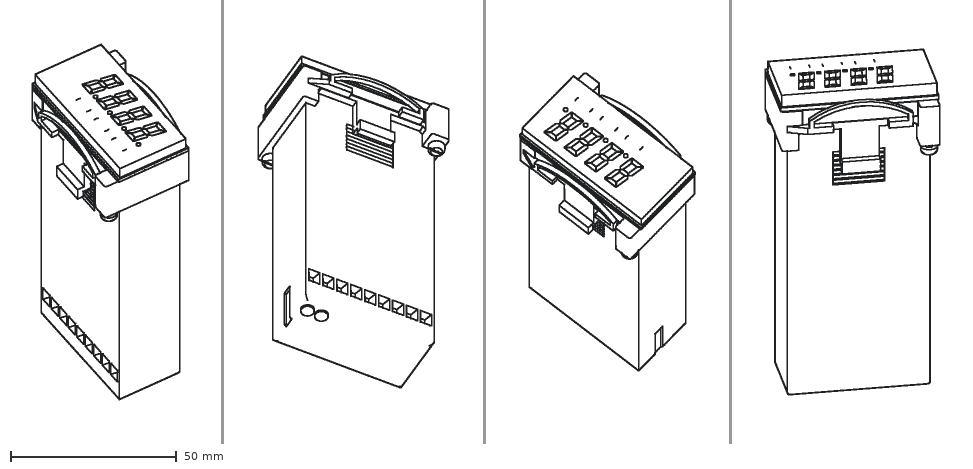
import cadquery as cq


CASE_X = 43.8
CASE_Y = 21.7
CASE_BOTTOM = 0.6
CASE_BOTTOM_FILLET = 1.4

FLANGE_X = 48.5
FLANGE_Y = 25.1
FLANGE_BOTTOM = 97.3
FLANGE_TOP = 98.6
BEZEL_X = 47.7
BEZEL_Y = 23.6
BEZEL_TOP = 102.5

TOTAL_HEIGHT = 102.8
BUTTON_RADIUS = 3.0
BUTTON_PITCH = 10.0
BUTTON_MIDDLE_X = 5.0
BUTTON_Y = -6.5

DIGIT_COUNT = 4
DIGIT_PITCH = 8.0
DIGIT_FIRST_X = -9.4
DIGIT_MIDDLE_Y = 3.2
DIGIT_WIDTH = 4.7
DIGIT_HEIGHT = 10.7
DIGIT_SLANT = 0.17
SEGMENT_WIDTH = 1.3
SEGMENT_GAP = 0.15
ENGRAVE_DEPTH = 0.1
POINT_RADIUS = 0.67
POINT_X = 3.4
POINT_Y = -4.7

TERMINAL_COUNT = 9
TERMINAL_SPAN = 38.0
TERMINAL_PITCH = TERMINAL_SPAN / (TERMINAL_COUNT - 1)
TERMINAL_X = 3.8
TERMINAL_Z = 4.8
TERMINAL_FLOOR_X = 1.3
TERMINAL_FLOOR_Z = 2.8
TERMINAL_DEPTH = 2.1
TERMINAL_MIDDLE_Z = 10.7

TOOTH_COUNT = 7
RATCHET_HEIGHT = 11.1
TOOTH_PITCH = RATCHET_HEIGHT / TOOTH_COUNT
TOOTH_DEPTH = 1.0
RATCHET_X = 15.8
RATCHET_TOP = 81.6

GROOVE_Y = 3.5
GROOVE_MIDDLE_Y = 1.5
GROOVE_TOP = 14.7
GROOVE_DEPTH = 0.7
FOOT_RADIUS = 2.1
FOOT_Y = -6.2
FOOT_XS = (-18.9, -14.2)

FRAME_X = BEZEL_X
FRAME_Y = 26.3
FRAME_BOTTOM = 84.2
FRAME_TOP = FLANGE_BOTTOM
FRAME_FILLET = 0.7
WINDOW_TOP = 90.2
WINDOW_PLAIN_EDGE = -18.8
WINDOW_CHAMFER = 0.9
BOSS_EDGE = 17.8
OVERALL_Y = 34.2
BOSS_Y = OVERALL_Y / 2
RECESS_HALF_X = 17.7
RECESS_DEPTH = 0.3

BAR_BOTTOM = 90.4
BAR_TOP = 92.5
BAR_INNER_X = 8.5
BOW_BACK_Y = 13.8
BOW_FRONT_Y = 15.5
BOW_HALF_X = 15.8
BOW_SHOULDER = 94.9
BOW_APEX = 99.9
BOW_THICKNESS = 1.3
BOW_INNER_SHOULDER = 94.4
RAMP_START_X = 16.4
RAMP_END_X = 22.3

TONGUE_X = 11.7
TONGUE_BOTTOM = 78.3
HOOK_TOP = 80.3
HOOK_BOTTOM = 76.3
LIP_BACK_Y = 13.5

SCREW_X = 21.0
SCREW_Y = 14.0
SHANK_RADIUS = 1.0
HEAD_RADIUS = 2.6
HEAD_TOP = 82.6
HEAD_RIM = 81.9
HEAD_BOTTOM = 80.5
HEAD_FLAT_RADIUS = 1.7
SLOT_WIDTH = 0.4
SLOT_DEPTH = 0.4


def block(x0, x1, y0, y1, z0, z1):
    """Box between two opposite corners."""
    return cq.Workplane("XY").box(x1 - x0, y1 - y0, z1 - z0, centered=False).translate((x0, y0, z0))


def centred_block(size_x, size_y, z0, z1):
    """Box centred on the Z axis."""
    return block(-size_x / 2, size_x / 2, -size_y / 2, size_y / 2, z0, z1)


def half_turn(shape):
    """Copy turned by 180 degrees about Z, to the opposite side."""
    return shape.rotate((0, 0, 0), (0, 0, 1), 180)


def button(x):
    """Low button of circular outline whose two halves slope down from an arched ridge along X."""
    rise = TOTAL_HEIGHT - BEZEL_TOP
    slanted_half = (
        cq.Workplane("XZ")
        .ellipse(BUTTON_RADIUS, rise)
        .workplane(offset=-BUTTON_RADIUS)
        .center(0, -rise)
        .ellipse(BUTTON_RADIUS, rise)
        .loft(ruled=True)
        .intersect(centred_block(2 * BUTTON_RADIUS, 2 * BUTTON_RADIUS, 0, 2 * rise))
    )
    return slanted_half.union(half_turn(slanted_half)).translate((x, BUTTON_Y, BEZEL_TOP))


def segment(outline):
    """Display segment from the outline it has in an upright digit, sheared to the slant."""
    slanted = [(x + DIGIT_SLANT * y, y) for x, y in outline]
    return cq.Workplane("XY").polyline(slanted).close().extrude(ENGRAVE_DEPTH)


def digit_pieces():
    """Seven slanted, mitred segments and a decimal point, centred on the origin."""
    half_x = DIGIT_WIDTH / 2
    half_y = DIGIT_HEIGHT / 2
    inner_x = half_x - SEGMENT_WIDTH
    inner_y = half_y - SEGMENT_WIDTH
    half_width = SEGMENT_WIDTH / 2
    tip_x = half_x - half_width
    gap = SEGMENT_GAP

    middle = [
        (tip_x - gap, 0),
        (inner_x - gap, half_width),
        (gap - inner_x, half_width),
        (gap - tip_x, 0),
        (gap - inner_x, -half_width),
        (inner_x - gap, -half_width),
    ]
    end = [(gap - half_x, half_y), (half_x - gap, half_y), (inner_x - gap, inner_y), (gap - inner_x, inner_y)]
    side = [
        (half_x, half_y - gap),
        (half_x, half_width + gap),
        (tip_x, gap),
        (inner_x, half_width + gap),
        (inner_x, inner_y - gap),
    ]

    pieces = [cq.Workplane("XY").center(POINT_X, POINT_Y).circle(POINT_RADIUS).extrude(ENGRAVE_DEPTH)]
    pieces.append(segment(middle))
    for sign_y in (-1, 1):
        pieces.append(segment([(x, sign_y * y) for x, y in end]))
        for sign_x in (-1, 1):
            pieces.append(segment([(sign_x * x, sign_y * y) for x, y in side]))
    return pieces


def terminal(x):
    """Tapered opening in the -Y face of the case."""
    return (
        cq.Workplane("XZ", origin=(x, -CASE_Y / 2, TERMINAL_MIDDLE_Z))
        .rect(TERMINAL_X, TERMINAL_Z)
        .workplane(offset=-TERMINAL_DEPTH)
        .rect(TERMINAL_FLOOR_X, TERMINAL_FLOOR_Z)
        .loft()
    )


def ratchet_tooth(top):
    """Sawtooth cut in the -Y face that slopes inward from its top to a level ledge."""
    face = -CASE_Y / 2
    ledge = top - TOOTH_PITCH
    return (
        cq.Workplane("YZ")
        .polyline([(face, top), (face + TOOTH_DEPTH, ledge), (face, ledge)])
        .close()
        .extrude(RATCHET_X / 2, both=True)
    )


def make_housing():
    case = centred_block(CASE_X, CASE_Y, CASE_BOTTOM, FLANGE_BOTTOM)
    case = case.faces("<Z").edges().fillet(CASE_BOTTOM_FILLET)
    flange = centred_block(FLANGE_X, FLANGE_Y, FLANGE_BOTTOM, FLANGE_TOP)
    bezel = centred_block(BEZEL_X, BEZEL_Y, FLANGE_TOP, BEZEL_TOP)
    body = case.union(flange).union(bezel)

    for i in (-1, 0, 1):
        body = body.union(button(BUTTON_MIDDLE_X + i * BUTTON_PITCH))
    for x in FOOT_XS:
        foot = cq.Workplane("XY").center(x, FOOT_Y).circle(FOOT_RADIUS).extrude(CASE_BOTTOM)
        body = body.union(foot)

    for i in range(DIGIT_COUNT):
        place = (DIGIT_FIRST_X + i * DIGIT_PITCH, DIGIT_MIDDLE_Y, BEZEL_TOP - ENGRAVE_DEPTH)
        for piece in digit_pieces():
            body = body.cut(piece.translate(place))
    for i in range(TERMINAL_COUNT):
        body = body.cut(terminal((i - (TERMINAL_COUNT - 1) / 2) * TERMINAL_PITCH))
    for i in range(TOOTH_COUNT):
        tooth = ratchet_tooth(RATCHET_TOP - i * TOOTH_PITCH)
        body = body.cut(tooth).cut(half_turn(tooth))

    groove = block(
        -CASE_X / 2, -CASE_X / 2 + GROOVE_DEPTH,
        GROOVE_MIDDLE_Y - GROOVE_Y / 2, GROOVE_MIDDLE_Y + GROOVE_Y / 2,
        CASE_BOTTOM, GROOVE_TOP,
    )
    return body.cut(groove)


def boss():
    """Screw boss on the +X end of the -Y wall."""
    shape = block(BOSS_EDGE, FRAME_X / 2, -BOSS_Y, 0, FRAME_BOTTOM, FRAME_TOP)
    shape = shape.edges("|Z and <Y").fillet(FRAME_FILLET)
    return shape.cut(centred_block(CASE_X, CASE_Y, FRAME_BOTTOM, FRAME_TOP))


def window():
    """Opening between the legs of the -Y wall, with chamfered upper corners."""
    shape = block(WINDOW_PLAIN_EDGE, BOSS_EDGE, -FRAME_Y / 2, -CASE_Y / 2, FRAME_BOTTOM, WINDOW_TOP)
    return shape.edges("|Y and >Z").chamfer(WINDOW_CHAMFER)


def recess():
    """Shallow step in the wall above the bow supports."""
    outer = -FRAME_Y / 2
    return block(-RECESS_HALF_X, RECESS_HALF_X, outer, outer + RECESS_DEPTH, BAR_TOP, FRAME_TOP)


def bow():
    """Spring bow: an arched strip whose feet turn inward along the supports."""
    inner_half = BOW_HALF_X - BOW_THICKNESS
    return (
        cq.Workplane("XZ", origin=(0, -BOW_BACK_Y, 0))
        .moveTo(-BOW_HALF_X, BAR_BOTTOM)
        .lineTo(-BOW_HALF_X, BOW_SHOULDER)
        .threePointArc((0, BOW_APEX), (BOW_HALF_X, BOW_SHOULDER))
        .lineTo(BOW_HALF_X, BAR_BOTTOM)
        .lineTo(BAR_INNER_X, BAR_BOTTOM)
        .lineTo(BAR_INNER_X, BAR_TOP)
        .lineTo(inner_half, BAR_TOP)
        .lineTo(inner_half, BOW_INNER_SHOULDER)
        .threePointArc((0, BOW_APEX - BOW_THICKNESS), (-inner_half, BOW_INNER_SHOULDER))
        .lineTo(-inner_half, BAR_TOP)
        .lineTo(-BAR_INNER_X, BAR_TOP)
        .lineTo(-BAR_INNER_X, BAR_BOTTOM)
        .close()
        .extrude(BOW_FRONT_Y - BOW_BACK_Y)
    )


def supports():
    """Bars that join the bow to the wall; the one away from the boss ends in a ramp."""
    wall = -FRAME_Y / 2
    plain = block(BAR_INNER_X, BOW_HALF_X, -BOW_FRONT_Y, wall, BAR_BOTTOM, BAR_TOP)
    ramped = (
        cq.Workplane("XY", origin=(0, 0, BAR_BOTTOM))
        .polyline([
            (-BAR_INNER_X, wall),
            (-BAR_INNER_X, -BOW_FRONT_Y),
            (-RAMP_START_X, -BOW_FRONT_Y),
            (-RAMP_END_X, wall),
        ])
        .close()
        .extrude(BAR_TOP - BAR_BOTTOM)
    )
    return plain.union(ramped)


def tongue():
    """Latch tongue that hangs from the wall and ends in an outward hook."""
    wall = -FRAME_Y / 2
    return (
        cq.Workplane("YZ")
        .polyline([
            (-CASE_Y / 2, WINDOW_TOP),
            (wall, WINDOW_TOP),
            (wall, HOOK_TOP),
            (-BOW_FRONT_Y, HOOK_TOP),
            (-BOW_FRONT_Y, HOOK_BOTTOM),
            (-LIP_BACK_Y, HOOK_BOTTOM),
            (-LIP_BACK_Y, TONGUE_BOTTOM),
            (-CASE_Y / 2, TONGUE_BOTTOM),
        ])
        .close()
        .extrude(TONGUE_X / 2, both=True)
    )


def screw():
    """Round-headed screw under the boss, its shank joined to the boss."""
    shape = (
        cq.Workplane("XZ")
        .moveTo(0, FRAME_BOTTOM)
        .lineTo(SHANK_RADIUS, FRAME_BOTTOM)
        .lineTo(SHANK_RADIUS, HEAD_TOP)
        .lineTo(HEAD_RADIUS, HEAD_TOP)
        .lineTo(HEAD_RADIUS, HEAD_RIM)
        .radiusArc((HEAD_FLAT_RADIUS, HEAD_BOTTOM), HEAD_RIM - HEAD_BOTTOM)
        .lineTo(0, HEAD_BOTTOM)
        .close()
        .revolve(360, (0, 0, 0), (0, 1, 0))
    )
    slot = centred_block(2 * HEAD_RADIUS, SLOT_WIDTH, HEAD_BOTTOM, HEAD_BOTTOM + SLOT_DEPTH)
    return shape.cut(slot).translate((SCREW_X, -SCREW_Y, 0))


def make_frame():
    ring = centred_block(FRAME_X, FRAME_Y, FRAME_BOTTOM, FRAME_TOP).edges("|Z").fillet(FRAME_FILLET)
    ring = ring.cut(centred_block(CASE_X, CASE_Y, FRAME_BOTTOM, FRAME_TOP))
    for cut in (window(), recess()):
        ring = ring.cut(cut).cut(half_turn(cut))
    for feature in (boss(), tongue(), supports(), bow(), screw()):
        ring = ring.union(feature).union(half_turn(feature))
    return ring


housing = make_housing()
frame = make_frame()
result = cq.Compound.makeCompound([housing.val(), frame.val()])